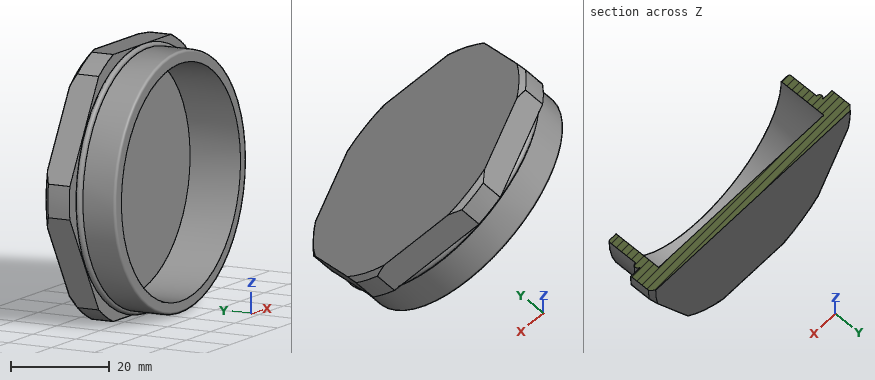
import cadquery as cq

flat_angle = 30
across_flats = 55.05
corner_diameter = 59.95
head_thickness = 6.0
head_chamfer = 1.0

total_length = 15.0
spigot_diameter = 53.95
spigot_edge_radius = 0.55
bore_diameter = 49.05
bore_depth = 11.7
ring_diameter = 55.6
ring_section = 1.45

spigot_length = total_length - head_thickness


def cylinder(diameter, start, length):
    """Cylinder along +Y beginning at y = start."""
    return cq.Workplane("XZ", origin=(0, start, 0)).circle(diameter / 2).extrude(-length)


def make_head():
    """Hexagon with turned corners and a chamfered outer face."""
    hexagon = (
        cq.Workplane("XZ")
        .polygon(6, across_flats, circumscribed=True)
        .extrude(-head_thickness)
        .rotate((0, 0, 0), (0, 1, 0), flat_angle)
    )
    blank = cylinder(corner_diameter, 0, head_thickness).faces(">Y").chamfer(head_chamfer)
    return hexagon.intersect(blank)


def make_spigot():
    """Round spigot with a rounded free end."""
    spigot = cylinder(spigot_diameter, -spigot_length, spigot_length)
    return spigot.faces("<Y").edges().fillet(spigot_edge_radius)


def make_ring():
    """Sealing ring with a half-round rim, seated against the head."""
    rim_radius = ring_section / 2
    rim_center = ring_diameter / 2 - rim_radius
    return (
        cq.Workplane("XY")
        .lineTo(rim_center, 0)
        .threePointArc((ring_diameter / 2, -rim_radius), (rim_center, -ring_section))
        .lineTo(0, -ring_section)
        .close()
        .revolve(360, (0, 0, 0), (0, 1, 0))
    )


bore = cylinder(bore_diameter, -spigot_length, bore_depth)
result = make_head().union(make_spigot()).union(make_ring()).cut(bore)